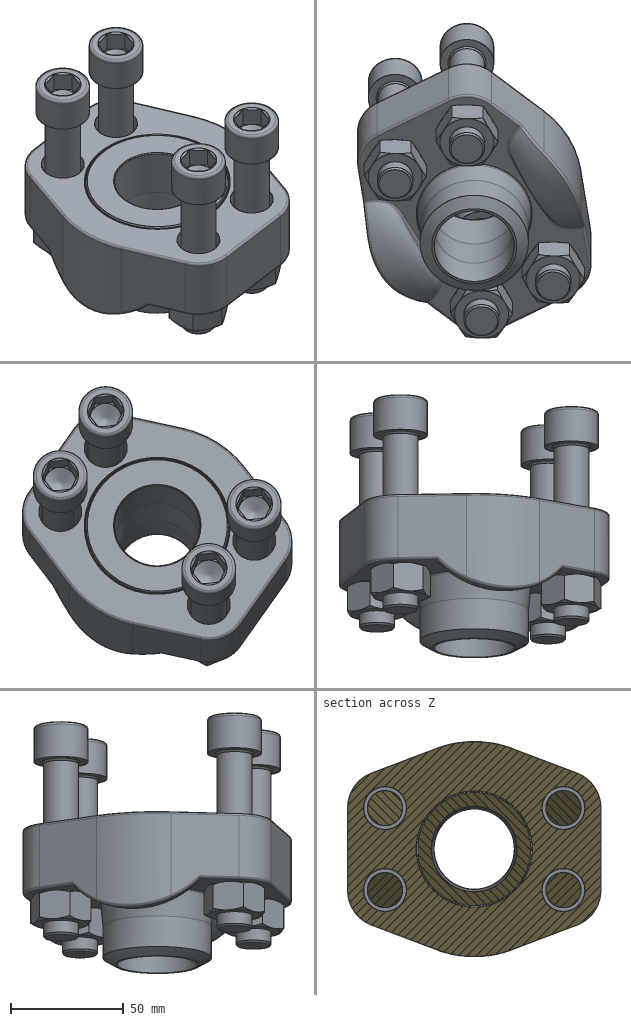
import cadquery as cq
import math

BOLT_PITCH_X = 79.4
BOLT_PITCH_Y = 36.5

FLANGE_LENGTH = 113.0
FLANGE_WIDTH = 95.8
FLANGE_THICKNESS = 30.0
FLANGE_EDGE_FILLET = 1.0
BOLT_CLEARANCE_DIAMETER = 19.0
COUNTERBORE_DIAMETER = 64.3
COUNTERBORE_DEPTH = 14.7
COUNTERBORE_CHAMFER = 0.3
NECK_HOLE_DIAMETER = 51.5
LOBE_BOTTOM_Z = -43.2
LOBE_RADIUS = 41.4
LOBE_OUTER_SLOPE = 0.08
LOBE_SHOULDER_Y = 32.8
LOBE_SHOULDER_RISE = 3.2
LOBE_INNER_Y = 28.7
LOBE_INNER_RISE = 9.0

COLLAR_DIAMETER = 63.5
COLLAR_CHAMFER = 0.6
INSERT_TOP_Z = 0.5
NECK_DIAMETER = 50.6
PIPE_DIAMETER = 48.3
NECK_TAPER_TOP_Z = -30.5
NECK_TAPER_BOTTOM_Z = -42.6
INSERT_BOTTOM_Z = -59.5
BEVEL_HEIGHT = 3.0
BEVEL_END_DIAMETER = 37.9
UPPER_BORE_DIAMETER = 38.0
BORE_CHAMFER = 0.5
LOWER_BORE_DIAMETER = 35.7
BORE_TAPER_TOP_Z = -22.6
BORE_TAPER_BOTTOM_Z = NECK_TAPER_BOTTOM_Z

SHANK_DIAMETER = 15.7
SHANK_LENGTH = 80.0
SHANK_END_DIAMETER = 14.4
SHANK_END_CHAMFER_HEIGHT = 0.9
HEAD_DIAMETER = 24.0
HEAD_HEIGHT = 16.0
HEAD_BOTTOM_Z = 30.8
HEAD_FILLET = 1.4
UNDER_HEAD_DIAMETER = 17.0
UNDER_HEAD_HEIGHT = 0.9
SOCKET_FLATS = 14.0
SOCKET_ANGLE = 40.0
SOCKET_CHAMFER_ANGLE = 60.0
SOCKET_DEPTH = 9.0
SOCKET_CONE_HEIGHT = 4.1

NUT_FLATS = 24.0
NUT_HEIGHT = 13.0
NUT_CHAMFER_ANGLE = 30.0

BOLT_CENTRES = [
    (x * BOLT_PITCH_X / 2, y * BOLT_PITCH_Y / 2) for x in (-1, 1) for y in (-1, 1)
]


def cylinder(diameter, bottom_z, top_z):
    return cq.Workplane("XY").workplane(offset=bottom_z).circle(diameter / 2).extrude(top_z - bottom_z)


def revolve_profile(points):
    """Revolve a closed (radius, z) profile about the Z axis."""
    return cq.Workplane("XZ").polyline(points).close().revolve(360, (0, 0), (0, 1))


def hexagon_corners(flats):
    return flats / math.cos(math.radians(30))


def flange_outline(bottom_z):
    """Big central arcs and four corner arcs about the bolt centres, joined by tangent lines."""
    centre_x = BOLT_PITCH_X / 2
    centre_y = BOLT_PITCH_Y / 2
    big_radius = FLANGE_WIDTH / 2
    corner_radius = FLANGE_LENGTH / 2 - centre_x
    normal = math.atan2(centre_y, centre_x) + math.acos(
        (big_radius - corner_radius) / math.hypot(centre_x, centre_y)
    )

    def corner_point(angle):
        return (centre_x + corner_radius * math.cos(angle), centre_y + corner_radius * math.sin(angle))

    big_end = (big_radius * math.cos(normal), big_radius * math.sin(normal))
    corner_start = corner_point(normal)
    corner_middle = corner_point(normal / 2)
    corner_end = corner_point(0)

    def flip(point, x_sign, y_sign):
        return (point[0] * x_sign, point[1] * y_sign)

    return (
        cq.Workplane("XY").workplane(offset=bottom_z)
        .moveTo(*flip(big_end, -1, 1))
        .threePointArc((0, big_radius), big_end)
        .lineTo(*corner_start)
        .threePointArc(corner_middle, corner_end)
        .lineTo(*flip(corner_end, 1, -1))
        .threePointArc(flip(corner_middle, 1, -1), flip(corner_start, 1, -1))
        .lineTo(*flip(big_end, 1, -1))
        .threePointArc((0, -big_radius), flip(big_end, -1, -1))
        .lineTo(*flip(corner_start, -1, -1))
        .threePointArc(flip(corner_middle, -1, -1), flip(corner_end, -1, -1))
        .lineTo(*flip(corner_end, -1, 1))
        .threePointArc(flip(corner_middle, -1, 1), flip(corner_start, -1, 1))
        .close()
    )


def make_lobe():
    """Bulge turned about an axis along Y, rounded towards the neck and cut off by the outline."""
    axis_z = LOBE_BOTTOM_Z + LOBE_RADIUS
    outer_y = FLANGE_WIDTH / 2
    inner_radius = LOBE_RADIUS - LOBE_INNER_RISE
    shoulder_radius = LOBE_RADIUS - LOBE_SHOULDER_RISE
    lobe = (
        cq.Workplane("YZ")
        .moveTo(outer_y, axis_z)
        .lineTo(outer_y, axis_z + LOBE_RADIUS)
        .spline(
            [(LOBE_SHOULDER_Y, axis_z + shoulder_radius), (LOBE_INNER_Y, axis_z + inner_radius)],
            tangents=[(-1, -LOBE_OUTER_SLOPE), (0, -1)],
            includeCurrent=True,
        )
        .lineTo(LOBE_INNER_Y, axis_z)
        .close()
        .revolve(360, (0, axis_z), (1, axis_z))
    )
    column = flange_outline(LOBE_BOTTOM_Z).extrude(-FLANGE_THICKNESS / 2 - LOBE_BOTTOM_Z)
    return lobe.intersect(column)


def make_flange():
    flange = flange_outline(-FLANGE_THICKNESS).extrude(FLANGE_THICKNESS)

    lobe = make_lobe()
    flange = flange.union(lobe).union(lobe.mirror("XZ"))
    flange = flange.faces("#Z").edges("not |Z").fillet(FLANGE_EDGE_FILLET)
    flange = flange.cut(revolve_profile([
        (0, 0),
        (COUNTERBORE_DIAMETER / 2 + COUNTERBORE_CHAMFER, 0),
        (COUNTERBORE_DIAMETER / 2, -COUNTERBORE_CHAMFER),
        (COUNTERBORE_DIAMETER / 2, -COUNTERBORE_DEPTH),
        (NECK_HOLE_DIAMETER / 2, -COUNTERBORE_DEPTH),
        (NECK_HOLE_DIAMETER / 2, LOBE_BOTTOM_Z),
        (0, LOBE_BOTTOM_Z),
    ]))
    for x, y in BOLT_CENTRES:
        flange = flange.cut(cylinder(BOLT_CLEARANCE_DIAMETER, -FLANGE_THICKNESS, 0).translate((x, y, 0)))
    return flange


def make_insert():
    return revolve_profile([
        (LOWER_BORE_DIAMETER / 2, INSERT_BOTTOM_Z),
        (BEVEL_END_DIAMETER / 2, INSERT_BOTTOM_Z),
        (PIPE_DIAMETER / 2, INSERT_BOTTOM_Z + BEVEL_HEIGHT),
        (PIPE_DIAMETER / 2, NECK_TAPER_BOTTOM_Z),
        (NECK_DIAMETER / 2, NECK_TAPER_TOP_Z),
        (NECK_DIAMETER / 2, -COUNTERBORE_DEPTH),
        (COLLAR_DIAMETER / 2, -COUNTERBORE_DEPTH),
        (COLLAR_DIAMETER / 2, INSERT_TOP_Z - COLLAR_CHAMFER),
        (COLLAR_DIAMETER / 2 - COLLAR_CHAMFER, INSERT_TOP_Z),
        (UPPER_BORE_DIAMETER / 2 + BORE_CHAMFER, INSERT_TOP_Z),
        (UPPER_BORE_DIAMETER / 2, INSERT_TOP_Z - BORE_CHAMFER),
        (UPPER_BORE_DIAMETER / 2, BORE_TAPER_TOP_Z),
        (LOWER_BORE_DIAMETER / 2, BORE_TAPER_BOTTOM_Z),
    ])


def make_screw():
    head_top = HEAD_BOTTOM_Z + HEAD_HEIGHT
    shank_end = HEAD_BOTTOM_Z - SHANK_LENGTH
    screw = cylinder(HEAD_DIAMETER, HEAD_BOTTOM_Z, head_top).faces(">Z").edges().fillet(HEAD_FILLET)
    shank = revolve_profile([
        (0, shank_end),
        (SHANK_END_DIAMETER / 2, shank_end),
        (SHANK_DIAMETER / 2, shank_end + SHANK_END_CHAMFER_HEIGHT),
        (SHANK_DIAMETER / 2, HEAD_BOTTOM_Z - UNDER_HEAD_HEIGHT),
        (UNDER_HEAD_DIAMETER / 2, HEAD_BOTTOM_Z),
        (0, HEAD_BOTTOM_Z),
    ])
    screw = screw.union(shank)
    socket_floor = head_top - SOCKET_DEPTH
    socket = (
        cq.Workplane("XY").workplane(offset=socket_floor)
        .polygon(6, hexagon_corners(SOCKET_FLATS)).extrude(SOCKET_DEPTH)
        .rotate((0, 0, 0), (0, 0, 1), SOCKET_ANGLE)
    )
    cone = revolve_profile([
        (0, socket_floor - SOCKET_CONE_HEIGHT),
        (SOCKET_FLATS / 2, socket_floor),
        (0, socket_floor),
    ])
    rim_radius = hexagon_corners(SOCKET_FLATS) / 2
    rim_chamfer = revolve_profile([
        (0, head_top),
        (rim_radius, head_top),
        (0, head_top - rim_radius * math.tan(math.radians(90 - SOCKET_CHAMFER_ANGLE))),
    ])
    return screw.cut(socket).cut(cone).cut(rim_chamfer)


def make_nut():
    top = -FLANGE_THICKNESS
    bottom = top - NUT_HEIGHT
    corner_radius = hexagon_corners(NUT_FLATS) / 2
    chamfer_width = corner_radius - NUT_FLATS / 2
    chamfer_height = chamfer_width * math.tan(math.radians(NUT_CHAMFER_ANGLE))
    nut = cq.Workplane("XY").workplane(offset=bottom).polygon(6, 2 * corner_radius).extrude(NUT_HEIGHT)
    chamfer_envelope = revolve_profile([
        (0, bottom),
        (NUT_FLATS / 2, bottom),
        (corner_radius, bottom + chamfer_height),
        (corner_radius, top - chamfer_height),
        (NUT_FLATS / 2, top),
        (0, top),
    ])
    return nut.intersect(chamfer_envelope).cut(cylinder(SHANK_DIAMETER, bottom, top))


flange = make_flange()
insert = make_insert()
screws = [make_screw().translate((x, y, 0)) for x, y in BOLT_CENTRES]
nuts = [make_nut().translate((x, y, 0)) for x, y in BOLT_CENTRES]

result = cq.Compound.makeCompound([
    flange.val(),
    insert.val(),
    *[screw.val() for screw in screws],
    *[nut.val() for nut in nuts],
])